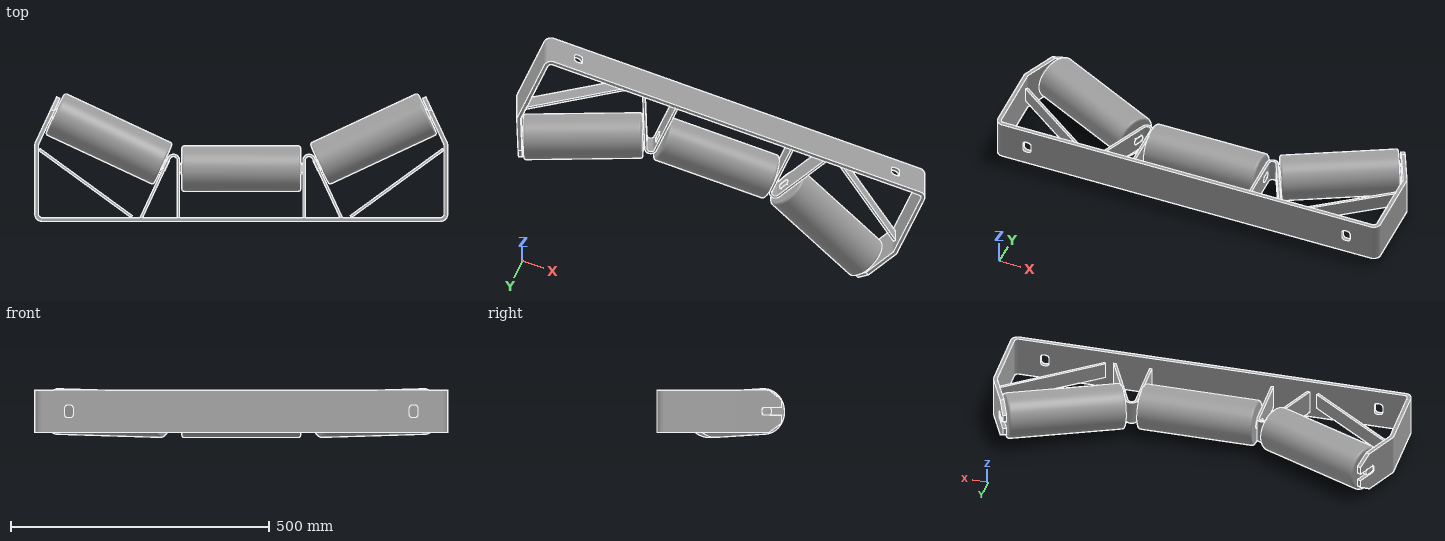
import cadquery as cq
import math

frame_length = 800.0
frame_width = 82.0
frame_thickness = 7.6
corner_radius = 14.0
arm_bend_radius = 14.0
arm_bend_height = 150.0
arm_lean = 25.0
arm_tip_height = 242.0
arm_tip_chamfer_length = 27.0
arm_tip_chamfer_width = 18.0

mount_slot_spacing = 667.0
mount_slot_width = 17.0
mount_slot_height = 25.0
mount_slot_corner = 6.0

roller_diameter = 89.0
roller_length = 230.0
roller_edge_radius = 5.0
shaft_diameter = 22.0
shaft_flat_width = 15.0
shaft_length = 248.0
centre_roller_height = 102.0
side_roller_x = 256.0
side_roller_height = 160.0

bracket_width = 48.0
bracket_drop = 6.8
bracket_thickness = 5.0
bracket_fold_radius = 12.0
bracket_top = 130.0

brace_thickness = 5.0
brace_width = 32.0
brace_wall_height = 138.0
brace_base_x = 214.0

half_length = frame_length / 2
half_roller = roller_length / 2
half_shaft = shaft_length / 2
lean_sin = math.sin(math.radians(arm_lean))
lean_cos = math.cos(math.radians(arm_lean))
side_roller_tilt = math.degrees(math.asin(bracket_drop / shaft_length))

centre_seat = cq.Location(cq.Vector(0, centre_roller_height, -bracket_drop))
side_seat = (
    cq.Location(cq.Vector(-side_roller_x, side_roller_height, -bracket_drop / 2))
    * cq.Location(cq.Vector(), cq.Vector(0, 0, 1), -arm_lean)
    * cq.Location(cq.Vector(), cq.Vector(0, 1, 0), side_roller_tilt)
)


def mirrored(body):
    """The matching body on the +X side."""
    return body.mirror("YZ")


def shaft_bar(length):
    """Round bar along X with a flat above and below."""
    bar = cq.Workplane("YZ").workplane(offset=-length / 2).circle(shaft_diameter / 2).extrude(length)
    flats = cq.Workplane("XY").box(length, shaft_diameter, shaft_flat_width)
    return bar.intersect(flats)


def make_roller():
    """Roller and shaft along X, centred on the origin."""
    shell = cq.Workplane("YZ").workplane(offset=-half_roller).circle(roller_diameter / 2).extrude(roller_length)
    shell = shell.edges().fillet(roller_edge_radius)
    return shell.union(shaft_bar(shaft_length))


def make_arm_slot():
    """Cutter for the left arm: a seat shaped like the shaft, open towards the arm tip."""
    inner_end = -half_roller
    outer_end = -half_shaft - frame_thickness
    length = inner_end - outer_end
    slot_reach = 2 * shaft_diameter
    opening = cq.Workplane("XY").box(length, slot_reach, shaft_flat_width, centered=(True, False, True))
    cutter = shaft_bar(length).union(opening).translate(((inner_end + outer_end) / 2, 0, 0))
    return cutter.val().moved(side_seat)


def make_frame():
    arm_rise = arm_tip_height - arm_bend_height
    arm_tip = (half_length - arm_rise * lean_sin / lean_cos, arm_tip_height)
    inner_half = half_length - frame_thickness
    inner_bend_height = arm_bend_height - frame_thickness * math.tan(math.radians(arm_lean / 2))
    inner_tip = (arm_tip[0] - frame_thickness * lean_cos, arm_tip[1] - frame_thickness * lean_sin)
    right_half = [(half_length, 0), (half_length, arm_bend_height), arm_tip,
                  inner_tip, (inner_half, inner_bend_height), (inner_half, frame_thickness)]
    left_half = [(-x, y) for x, y in reversed(right_half)]
    frame = cq.Workplane("XY").polyline(right_half + left_half).close().extrude(frame_width / 2, both=True)

    bends = [
        (half_length, 0, corner_radius),
        (half_length, arm_bend_height, arm_bend_radius),
        (inner_half, frame_thickness, corner_radius - frame_thickness),
        (inner_half, inner_bend_height, arm_bend_radius - frame_thickness),
    ]
    for x, y, radius in bends:
        for side in (-1, 1):
            frame = frame.edges(cq.NearestToPointSelector((side * x, y, 0))).fillet(radius)

    for side in (-1, 1):
        for level in (-1, 1):
            frame = frame.cut(arm_corner(arm_tip, side, level))
        mount_slot = (
            cq.Workplane("XZ").center(side * mount_slot_spacing / 2, 0)
            .rect(mount_slot_width, mount_slot_height).extrude(-frame_thickness)
            .edges("|Y").fillet(mount_slot_corner)
        )
        frame = frame.cut(mount_slot)

    arm_slot = make_arm_slot()
    return frame.cut(cq.Workplane(arm_slot)).cut(cq.Workplane(mirrored(arm_slot)))


def arm_corner(arm_tip, side, level):
    """Triangular wedge that bevels one corner of an arm tip."""
    tip_plane = cq.Plane(
        origin=(side * arm_tip[0], arm_tip[1], level * frame_width / 2),
        xDir=(side * lean_sin, -lean_cos, 0),
        normal=(lean_cos, side * lean_sin, 0),
    )
    inwards = -level * tip_plane.yDir.z
    return (
        cq.Workplane(tip_plane)
        .polyline([(0, 0), (arm_tip_chamfer_length, 0), (0, inwards * arm_tip_chamfer_width)])
        .close().extrude(2 * frame_thickness, both=True)
    )


def make_bracket():
    """Left bracket: an upright leg, a round fold and a leg that leans with the arm."""
    upright_x = -half_shaft
    fold_x = upright_x - (bracket_fold_radius - bracket_thickness)
    fold_y = bracket_top - bracket_fold_radius

    def filled_bend(radius):
        """Block filling the bend out to a given distance from the fold centre."""
        leaning_top = (fold_x - radius * lean_cos, fold_y + radius * lean_sin)
        foot_x = leaning_top[0] - (leaning_top[1] - frame_thickness) * lean_sin / lean_cos
        return (
            cq.Workplane("XY").moveTo(fold_x + radius, frame_thickness)
            .lineTo(fold_x + radius, fold_y)
            .threePointArc((fold_x, fold_y + radius), leaning_top)
            .lineTo(foot_x, frame_thickness).close().extrude(bracket_width)
        )

    bracket = filled_bend(bracket_fold_radius).cut(filled_bend(bracket_fold_radius - bracket_thickness))
    bracket = bracket.translate((0, 0, -bracket_drop - bracket_width / 2))
    hole_cutter = shaft_bar(shaft_length + 2 * bracket_thickness).val()
    for seat in (centre_seat, side_seat):
        bracket = bracket.cut(cq.Workplane(hole_cutter.moved(seat)))
    return bracket


def make_brace():
    """Left brace: a square-ended flat strip with a corner on the base and one on the upright."""
    wall_end = cq.Vector(-half_length + frame_thickness, brace_wall_height)
    base_end = cq.Vector(-brace_base_x, frame_thickness)
    along = base_end - wall_end
    strip_plane = cq.Plane(origin=wall_end, xDir=along, normal=(0, 0, 1))
    return (
        cq.Workplane(strip_plane)
        .rect(along.Length, brace_thickness, centered=False).extrude(brace_width / 2, both=True)
    )


frame = make_frame().val()

roller = make_roller().val()
side_roller = roller.moved(side_seat)
rollers = [roller.moved(centre_seat), side_roller, mirrored(side_roller)]

bracket = make_bracket().val()
brackets = [bracket, mirrored(bracket)]

brace = make_brace().val()
braces = [brace, mirrored(brace)]

result = cq.Compound.makeCompound([frame, *rollers, *brackets, *braces])